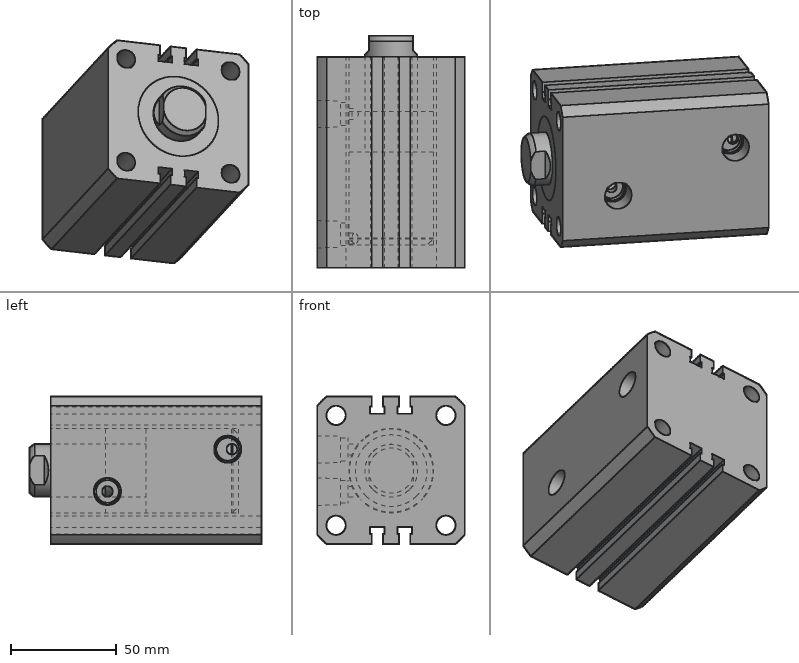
import cadquery as cq

side = 70.0
overall_length = 110.0
housing_length = 100.0
corner_radius = 46.4
bolt_spacing = 52.0
bolt_hole_diameter = 9.0

slot_offset = 6.5
slot_neck_width = 5.2
slot_wide_width = 6.8
slot_depth = 8.1
slot_neck_depth = 4.8

bore_diameter = 40.0
bore_start = 11.0

rod_diameter = 25.0
flats_width = 20.9
flats_length = 7.0
tip_bevel_length = 1.8
tip_bevel_step = 1.4
tip_shoulder_length = 0.8
tip_shoulder_step = 0.3

cover_start = 74.1

piston_length = 44.0
piston_bevel = 2.8
piston_shoulder_length = 0.7
piston_shoulder_step = 0.28
rod_start = bore_start + piston_length

port_mouth_diameter = 13.0
port_taper_end_diameter = 12.4
port_taper_depth = 11.0
port_pilot_diameter = 10.8
port_depth = 14.5
passage_diameter = 5.1
port_height = 10.0
rear_port_y = 16.1
rear_passage_y = 14.1
front_port_y = 73.0


def cylinder(diameter, start, end):
    """A round bar on the axis between two Y positions."""
    return cq.Workplane("XZ", origin=(0, start, 0)).circle(diameter / 2).extrude(start - end)


def revolve_profile(points):
    """Turn a closed (radius, Y) outline about the Y axis."""
    outline = [(y, radius) for radius, y in points]
    return cq.Workplane("YZ").polyline(outline).close().revolve(360, (0, 0, 0), (1, 0, 0))


def x_cylinder(diameter, y, z, depth):
    """A round tool sunk from the -X side face."""
    return cq.Workplane("YZ", origin=(-side / 2, y, z)).circle(diameter / 2).extrude(depth)


def slot_block(x, direction, width, start_depth, end_depth):
    """Full-length block lying between two depths below the top (+1) or bottom (-1) face."""
    middle_z = direction * (side / 2 - (start_depth + end_depth) / 2)
    block = cq.Workplane("XY", origin=(x, housing_length / 2, middle_z))
    return block.box(width, housing_length, end_depth - start_depth)


def slot_tool(x, direction):
    """T-slot cutter: a narrow neck at the face and a wider part below it."""
    neck = slot_block(x, direction, slot_neck_width, 0, slot_neck_depth)
    wide = slot_block(x, direction, slot_wide_width, slot_neck_depth, slot_depth)
    return neck.union(wide)


def port_tool(port_y, passage_y, z):
    """Port cutter whose passage may sit off the centre of the port."""
    mouth = cq.Workplane(
        cq.Solid.makeCone(
            port_mouth_diameter / 2,
            port_taper_end_diameter / 2,
            port_taper_depth,
            cq.Vector(-side / 2, port_y, z),
            cq.Vector(1, 0, 0),
        )
    )
    pilot = x_cylinder(port_pilot_diameter, port_y, z, port_depth)
    passage = x_cylinder(passage_diameter, passage_y, z, side / 2 - rod_diameter / 2)
    return mouth.union(pilot).union(passage)


def make_housing():
    """Block with round long edges, bolt holes, slots, bore and the two side ports."""
    body = cq.Workplane("XY", origin=(0, housing_length / 2, 0)).box(side, housing_length, side)
    body = body.intersect(cylinder(2 * corner_radius, 0, housing_length))
    for sx in (-1, 1):
        for sz in (-1, 1):
            hole = cylinder(bolt_hole_diameter, 0, housing_length)
            body = body.cut(hole.translate((sx * bolt_spacing / 2, 0, sz * bolt_spacing / 2)))
            body = body.cut(slot_tool(sx * slot_offset, sz))
    body = body.cut(cylinder(bore_diameter, bore_start, housing_length))
    body = body.cut(port_tool(rear_port_y, rear_passage_y, port_height))
    return body.cut(port_tool(front_port_y, front_port_y, -port_height))


def make_rod():
    """Round rod with a two-step tip bevel and a flat on each X side."""
    r = rod_diameter / 2
    shoulder_radius = r - tip_shoulder_step
    rod = revolve_profile([
        (0, rod_start),
        (r, rod_start),
        (r, overall_length - tip_bevel_length - tip_shoulder_length),
        (shoulder_radius, overall_length - tip_bevel_length),
        (shoulder_radius - tip_bevel_step, overall_length),
        (0, overall_length),
    ])
    flat = flats_width / 2
    run_out = r - flat
    flat_end = overall_length - flats_length
    for sx in (-1, 1):
        cutter = (
            cq.Workplane("XY", origin=(0, 0, -r))
            .polyline([
                (sx * flat, overall_length),
                (sx * flat, flat_end),
                (sx * (flat + run_out), flat_end - run_out),
                (sx * (flat + run_out), overall_length),
            ])
            .close()
            .extrude(2 * r)
        )
        rod = rod.cut(cutter)
    return rod


def make_cover():
    """Plain ring that closes the bore around the rod."""
    cover = cylinder(bore_diameter, cover_start, housing_length)
    return cover.cut(cylinder(rod_diameter, cover_start, housing_length))


def make_piston():
    """Disc whose rear edge has a 45 degree bevel and a shallower shoulder."""
    r = bore_diameter / 2
    shoulder_radius = r - piston_shoulder_step
    bevel_end = bore_start + piston_bevel
    return revolve_profile([
        (0, bore_start),
        (shoulder_radius - piston_bevel, bore_start),
        (shoulder_radius, bevel_end),
        (r, bevel_end + piston_shoulder_length),
        (r, rod_start),
        (0, rod_start),
    ])


housing = make_housing()
rod = make_rod()
cover = make_cover()
piston = make_piston()

result = cq.Compound.makeCompound([
    housing.val(),
    rod.val(),
    cover.val(),
    piston.val(),
])